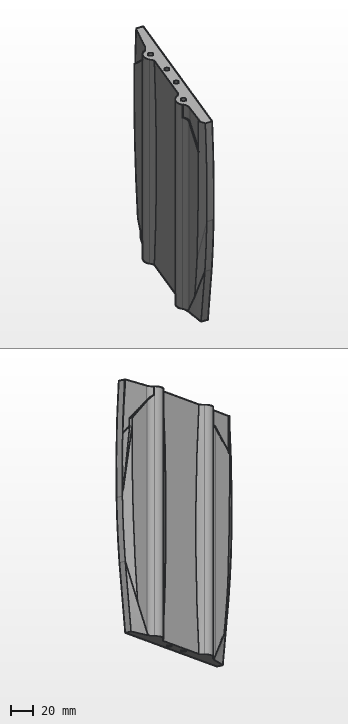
import cadquery as cq
import math

HEIGHT = 230.0
WIDTH = 154.08
RIB_DEPTH = 17.49
EDGE_DEPTH = 6.75
PLATE_DEPTH = 11.2
CLEAR_DEPTH = RIB_DEPTH + 1.0

HALF_TOP = 73.6
HALF_BOTTOM = 64.5
WIDEST_Z = 148.5
OUTLINE_UPPER_MID = (WIDTH / 2, WIDEST_Z)
OUTLINE_UPPER = (76.7, 122.0)
OUTLINE_LOWER = (72.7, 63.0)
OUTLINE_LOWER_MID = (75.3, 92.5)

PAD_HALF = 68.2
PAD_SEAM_RIGHT = (65.9, 75.0)
PAD_SEAM_LEFT = (68.4, 188.0)
PAD_UPPER_MID_RIGHT = (68.0, 135.0)
PAD_LOWER_MID_RIGHT = (63.5, 50.0)
PAD_LOWER_MID_LEFT = (66.7, 100.0)
PAD_LOWER = (60.8, 27.0)
PAD_BOTTOM_HALF = 46.2

RIB_X = 35.0
RIB_TIP_RADIUS = 8.0
RIB_FOOT_RUN = 13.0
RIB_RISE = RIB_DEPTH - PLATE_DEPTH
RIB_ANGLE = 2 * math.atan(RIB_RISE / RIB_FOOT_RUN)
RIB_FOOT_RADIUS = RIB_FOOT_RUN / math.sin(RIB_ANGLE) - RIB_TIP_RADIUS
RIB_FOOT_X = RIB_X + RIB_FOOT_RUN
RIB_TIP_HALF = RIB_TIP_RADIUS * math.sin(RIB_ANGLE)
RIB_TANGENT_DEPTH = RIB_DEPTH - RIB_TIP_RADIUS * (1 - math.cos(RIB_ANGLE))
RIB_OUTER_X = RIB_X + RIB_TIP_HALF
RIB_INNER_X = RIB_X - RIB_TIP_HALF
FLARE_END_X = 25.3
FLARE_MID_X = 20.9
FLARE_SAG = 0.4

RECESS_DROP = 0.8
RECESS_CORNER_Z = 195.3
SIDE_CLEARANCE = 0.2
RECESS_SIDE_X = WIDTH / 2 + SIDE_CLEARANCE
RIGHT_FLOOR_END_DEPTH = 9.9
RIGHT_STEP_Z = RECESS_CORNER_Z + PAD_HALF - RIB_FOOT_X
FACET_SIDE_DEPTH = EDGE_DEPTH + 0.05
FACET_TOP = (*PAD_SEAM_LEFT, 8.3)
FACET_BOTTOM = (76.3, 125.0, 7.1)

THROUGH_HOLE_DIAMETER = 4.5
THROUGH_HOLE_X = 10.0
THROUGH_HOLE_DEPTH = 6.0
RIB_HOLE_DIAMETER = 4.75
RIB_HOLE_DEPTH = 10.4
RIB_HOLE_LENGTH = 20.0


def mirrored(point):
    return (-point[0], point[1])


def foot_mid(drop):
    """Middle point of the concave foot, lowered by drop toward the back."""
    half_angle = RIB_ANGLE / 2
    x = RIB_FOOT_X - RIB_FOOT_RADIUS * math.sin(half_angle)
    depth = PLATE_DEPTH + RIB_FOOT_RADIUS * (1 - math.cos(half_angle))
    return (x, depth - drop)


def front_plane(depth):
    return cq.Workplane("XZ", origin=(0, -depth, 0))


def section(start):
    """Sketch in the top plane; its second coordinate is depth from the back."""
    plane = cq.Plane(origin=(0, 0, HEIGHT), xDir=(1, 0, 0), normal=(0, 0, -1))
    return cq.Workplane(plane).moveTo(*start)


def outline(workplane):
    return (
        workplane.moveTo(HALF_TOP, HEIGHT)
        .threePointArc(OUTLINE_UPPER_MID, OUTLINE_UPPER)
        .threePointArc(OUTLINE_LOWER_MID, OUTLINE_LOWER)
        .lineTo(HALF_BOTTOM, 0)
        .lineTo(-HALF_BOTTOM, 0)
        .lineTo(*mirrored(OUTLINE_LOWER))
        .threePointArc(mirrored(OUTLINE_LOWER_MID), mirrored(OUTLINE_UPPER))
        .threePointArc(mirrored(OUTLINE_UPPER_MID), (-HALF_TOP, HEIGHT))
        .close()
    )


def pad_outline(workplane):
    return (
        workplane.moveTo(PAD_HALF, HEIGHT)
        .threePointArc(PAD_UPPER_MID_RIGHT, PAD_SEAM_RIGHT)
        .threePointArc(PAD_LOWER_MID_RIGHT, PAD_LOWER)
        .lineTo(PAD_BOTTOM_HALF, 0)
        .lineTo(-PAD_BOTTOM_HALF, 0)
        .lineTo(*mirrored(PAD_LOWER))
        .threePointArc(mirrored(PAD_LOWER_MID_LEFT), mirrored(PAD_SEAM_LEFT))
        .lineTo(-PAD_HALF, HEIGHT)
        .close()
    )


def make_plate():
    base = outline(front_plane(0)).extrude(EDGE_DEPTH)
    lower_wire = outline(front_plane(EDGE_DEPTH)).wire().val()
    upper_wire = pad_outline(front_plane(PLATE_DEPTH)).wire().val()
    border = cq.Solid.makeLoft([lower_wire, upper_wire], True)
    return base.union(cq.Workplane(border))


def make_rib():
    profile = (
        section((RIB_INNER_X, 0))
        .lineTo(RIB_INNER_X, RIB_TANGENT_DEPTH)
        .threePointArc((RIB_X, RIB_DEPTH), (RIB_OUTER_X, RIB_TANGENT_DEPTH))
        .threePointArc(foot_mid(0), (RIB_FOOT_X, PLATE_DEPTH))
        .lineTo(RIB_FOOT_X, 0)
        .close()
    )
    front_face_column = pad_outline(front_plane(0)).extrude(CLEAR_DEPTH)
    return profile.extrude(HEIGHT).intersect(front_face_column)


def make_flare():
    """Concave inner foot of a rib, widest at mid height."""
    wires = []
    for z, foot_x in ((0, FLARE_END_X), (HEIGHT / 2, FLARE_MID_X), (HEIGHT, FLARE_END_X)):
        mid_x = (foot_x + RIB_INNER_X) / 2
        mid_depth = (PLATE_DEPTH + RIB_TANGENT_DEPTH) / 2 - FLARE_SAG
        plane = cq.Plane(origin=(0, 0, z), xDir=(1, 0, 0), normal=(0, 0, -1))
        wire = (
            cq.Workplane(plane)
            .moveTo(foot_x, PLATE_DEPTH)
            .threePointArc((mid_x, mid_depth), (RIB_INNER_X, RIB_TANGENT_DEPTH))
            .lineTo(RIB_X, RIB_TANGENT_DEPTH)
            .lineTo(RIB_X, EDGE_DEPTH)
            .lineTo(foot_x, EDGE_DEPTH)
            .close()
        )
        wires.append(wire.val())
    return cq.Workplane(cq.Solid.makeLoft(wires))


def side_area(boundary):
    """Column through the part over a boundary given as points of half width and height."""
    return front_plane(0).polyline(boundary).close().extrude(CLEAR_DEPTH)


def recess_column(floor_end):
    """Space in front of a recess floor that follows the rib foot, then slopes to floor_end."""
    return (
        section((RIB_OUTER_X, CLEAR_DEPTH))
        .lineTo(RIB_OUTER_X, RIB_TANGENT_DEPTH - RECESS_DROP)
        .threePointArc(foot_mid(RECESS_DROP), (RIB_FOOT_X, PLATE_DEPTH - RECESS_DROP))
        .lineTo(*floor_end)
        .lineTo(floor_end[0], CLEAR_DEPTH)
        .close()
        .extrude(HEIGHT)
    )


def make_left_recess():
    """Recess at the top left that runs out through the side edge."""
    seam_x, seam_z = PAD_SEAM_LEFT
    boundary = [
        (RIB_OUTER_X, HEIGHT),
        (RIB_OUTER_X, RECESS_CORNER_Z + PAD_HALF - RIB_OUTER_X),
        (PAD_HALF, RECESS_CORNER_Z),
        PAD_SEAM_LEFT,
        (RECESS_SIDE_X, seam_z - (RECESS_SIDE_X - seam_x)),
        (RECESS_SIDE_X, HEIGHT),
    ]
    recess = recess_column((RECESS_SIDE_X, EDGE_DEPTH)).intersect(side_area(boundary))
    return recess.mirror("YZ")


def make_right_recess():
    """Shallow recess at the top right that stops at the sloping border."""
    boundary = [
        (RIB_OUTER_X, HEIGHT),
        (RIB_OUTER_X, RIGHT_STEP_Z),
        (RIB_FOOT_X, RIGHT_STEP_Z),
        (PAD_HALF, RECESS_CORNER_Z),
        (PAD_HALF, HEIGHT),
    ]
    return recess_column((PAD_HALF, RIGHT_FLOOR_END_DEPTH)).intersect(side_area(boundary))


def make_left_facet():
    """Twisted facet that carries the left recess down the side edge to a point."""
    wires = []
    for x, z, depth in (FACET_TOP, FACET_BOTTOM):
        plane = cq.Plane(origin=(0, 0, z), xDir=(-1, 0, 0), normal=(0, 0, 1))
        wire = (
            cq.Workplane(plane)
            .moveTo(RECESS_SIDE_X, FACET_SIDE_DEPTH)
            .lineTo(x, depth)
            .lineTo(x, CLEAR_DEPTH)
            .lineTo(RECESS_SIDE_X, CLEAR_DEPTH)
            .close()
        )
        wires.append(wire.val())
    return cq.Workplane(cq.Solid.makeLoft(wires, True))


def make_holes(x, depth, diameter, length):
    return section((0, 0)).pushPoints([(-x, depth), (x, depth)]).circle(diameter / 2).extrude(length)


def make_part():
    part = make_plate()
    for foot in (make_rib(), make_flare()):
        part = part.union(foot).union(foot.mirror("YZ"))
    part = part.cut(make_left_recess())
    part = part.cut(make_left_facet())
    part = part.cut(make_right_recess())
    part = part.cut(make_holes(THROUGH_HOLE_X, THROUGH_HOLE_DEPTH, THROUGH_HOLE_DIAMETER, HEIGHT))
    part = part.cut(make_holes(RIB_X, RIB_HOLE_DEPTH, RIB_HOLE_DIAMETER, RIB_HOLE_LENGTH))
    return part


result = make_part()